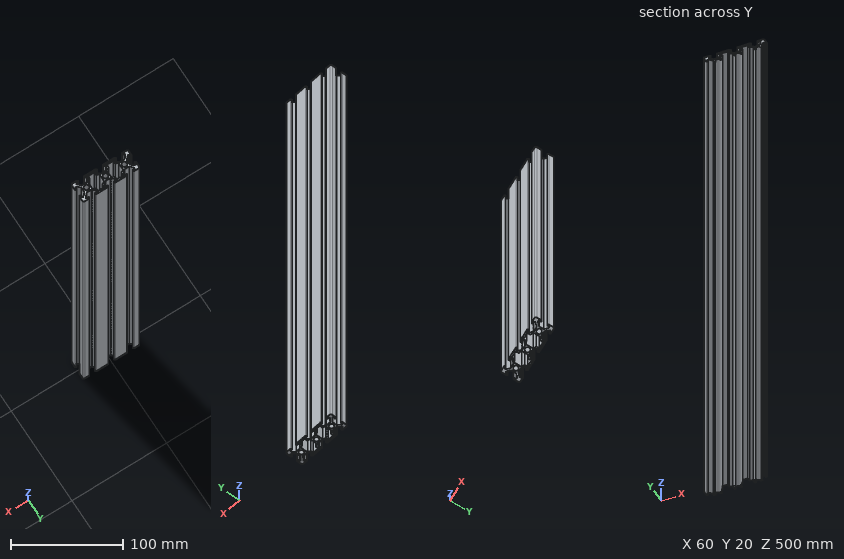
import cadquery as cq

length = 500.0
cell = 20.0
cell_count = 3
width = cell * cell_count
half_cell = cell / 2
corner_radius = 1.5

mouth_half = 3.1
mouth_radius = 0.8
lip = 1.5
undercut_half = 5.5
floor_depth = 6.0
floor_half = 2.45
lip_bottom = half_cell - lip
slot_floor = half_cell - floor_depth
undercut_bottom = slot_floor + undercut_half - floor_half

bore_diameter = 5.0

chamber_wall = 1.8
web = 1.15
neck_length = 3.2
shoulder_drop = 1.0
shoulder_width = 3.0
chamber_top = half_cell - chamber_wall
neck_half = half_cell - undercut_half - web
neck_bottom = chamber_top - neck_length
belly_half = neck_half + shoulder_width
belly_top = neck_bottom - shoulder_drop


def t_slot(x, angle):
    """Cutter for a slot of the cell centred at x, its mouth turned by angle from +Y."""
    outline = (
        cq.Workplane("XY")
        .moveTo(-floor_half, slot_floor)
        .lineTo(floor_half, slot_floor)
        .lineTo(undercut_half, undercut_bottom)
        .lineTo(undercut_half, lip_bottom)
        .lineTo(mouth_half, lip_bottom)
        .lineTo(mouth_half, half_cell - mouth_radius)
        .radiusArc((mouth_half + mouth_radius, half_cell), mouth_radius)
        .lineTo(-mouth_half - mouth_radius, half_cell)
        .radiusArc((-mouth_half, half_cell - mouth_radius), mouth_radius)
        .lineTo(-mouth_half, lip_bottom)
        .lineTo(-undercut_half, lip_bottom)
        .lineTo(-undercut_half, undercut_bottom)
        .close()
    )
    slot = outline.extrude(length).rotate((0, 0, 0), (0, 0, 1), angle)
    return slot.translate((x, 0, 0))


def chamber(x):
    """Cutter for the wide hollow centred at x, with a narrow neck towards each long face."""
    upper_right = [
        (belly_half, belly_top),
        (neck_half, neck_bottom),
        (neck_half, chamber_top),
    ]
    upper_left = [(-px, py) for px, py in reversed(upper_right)]
    upper = upper_right + upper_left
    lower = [(-px, -py) for px, py in upper]
    outline = cq.Workplane("XY").polyline(upper + lower).close()
    return outline.extrude(length).translate((x, 0, 0))


cell_centers = [(i - (cell_count - 1) / 2) * cell for i in range(cell_count)]

result = (
    cq.Workplane("XY")
    .rect(width, cell)
    .extrude(length)
    .edges("|Z")
    .fillet(corner_radius)
)

for x in cell_centers:
    for angle in (0, 180):
        result = result.cut(t_slot(x, angle))
    bore = cq.Workplane("XY").center(x, 0).circle(bore_diameter / 2).extrude(length)
    result = result.cut(bore)

for x, angle in ((cell_centers[0], 90), (cell_centers[-1], -90)):
    result = result.cut(t_slot(x, angle))

for left, right in zip(cell_centers, cell_centers[1:]):
    result = result.cut(chamber((left + right) / 2))